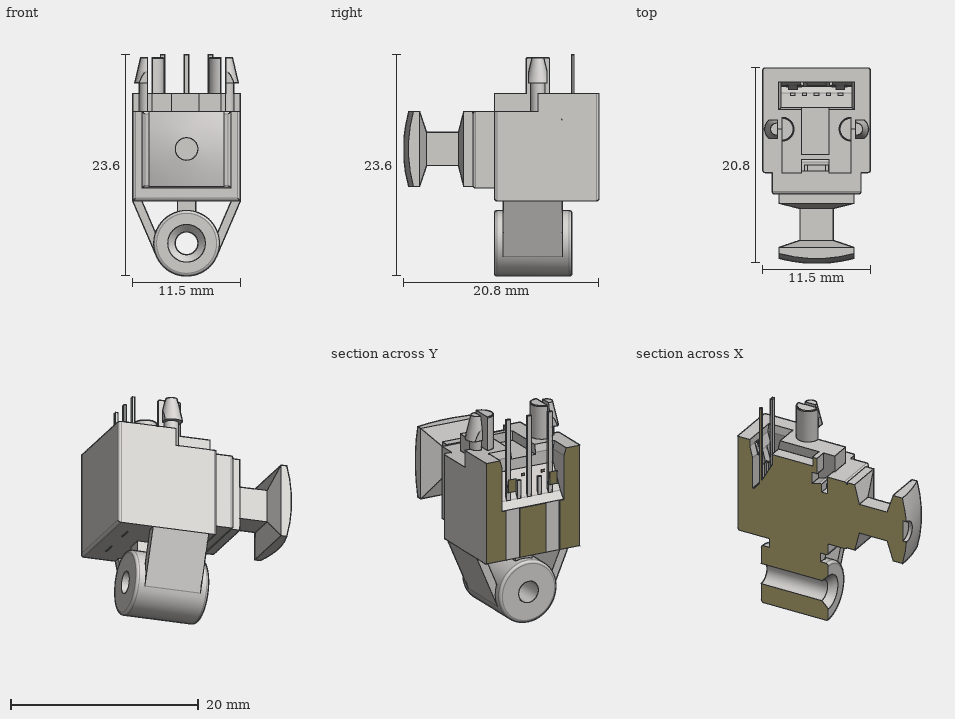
import cadquery as cq
import math


overall_height = 23.6

body_width = 11.5
body_depth = 11.19
body_top = 15.98
body_bottom = 4.5
edge_radius = 0.3

step_z = 14.07
step_y = 4.65
tongue_width = 7.35

eye_diameter = 7.0
eye_radius = eye_diameter / 2
eye_length = 8.28
bore_diameter = 2.4
countersink_diameter = 4.01
countersink_angle = 90
strut_y_front = 0.95
strut_y_back = 7.27
strut_top_width = 1.0
web_width = 1.98

collar_width = 9.49
collar_bottom = 5.88
collar_length = 2.3
button_size = 8.02
neck_size = 3.56
shoulder_y = -3.25
neck_start_y = -3.82
neck_end_y = -7.2
button_back_y = -7.95
button_front_y = -9.68
dome_radius = 15.58
dimple_diameter = 2.4
dimple_depth = 0.5
button_z = step_z - button_size / 2

pocket_width = 8.07
pocket_y_front = 6.73
pocket_y_back = 9.65
lead_in_depth = 0.83
well_width = 7.55
well_y_front = 6.95
well_y_back = 9.32
back_slope_height = 1.3
floor_front_z = 13.69
floor_ridge_y = 8.5
floor_ridge_z = 10.95
floor_back_y = 9.18
floor_back_z = 10.15
key_slot_x = 1.55
key_slot_width = 0.33
key_rib_x = 1.2
key_rib_width = 0.38
latch_x = 2.53
latch_width = 0.95
latch_y_front = 8.87
latch_height = 1.63
wedge_lip = 0.12
vent_x = 2.43
vent_width = 1.65
lead_in_z = body_top - lead_in_depth
back_slope_z = lead_in_z - back_slope_height

channel_width = 2.97
channel_x = -0.15
channel_floor_z = 14.92
channel_y_front = 1.95
notch_y_back = 1.4
notch_y_front = 0.17
notch_floor_z = 13.03
undercut_y_back = 2.0
undercut_floor_z = 12.75
notch_ramp_y = 1.13
slot_y_back = 0.8
slot_width = 2.55
slot_floor_z = 12.5
slot_center_width = 1.94
slot_center_z = 12.04

pin_y = 8.38
pin_pitch = 1.27
pin_width = 0.5
pin_thickness = 0.25
pin_root_z = 9.45
pin_top = overall_height - eye_radius
short_pin_width = 0.42
short_pin_top = 12.98

post_diameter = 2.53
post_top = 19.78
post_chamfer = 0.1
clip_x = 4.27
clip_flat_x = 4.15
clip_shank_radius = 0.78
clip_head_z = 17.1
clip_head_diameter = 2.53
clip_tip_radius = 0.64
clip_head_width = 1.98


def block(width, y_start, y_end, z_start, z_end, x_center=0):
    """Box centred on x_center, spanning the given Y and Z ranges."""
    box = cq.Workplane("XY", origin=(x_center, y_start, z_start))
    return box.box(width, y_end - y_start, z_end - z_start, centered=(True, False, False))


def square_taper(y_start, size_start, y_end, size_end):
    """Square frustum around the plunger axis."""
    return (
        cq.Workplane("XZ", origin=(0, y_start, button_z))
        .rect(size_start, size_start)
        .workplane(offset=y_start - y_end)
        .rect(size_end, size_end)
        .loft()
    )


def mirrored(shape):
    """The shape together with its mirror image across X = 0."""
    return shape.union(shape.mirror("YZ"))


def make_body():
    body = block(body_width, 0, body_depth, body_bottom, body_top)
    body = body.edges("|Z or (|X and <Z)").fillet(edge_radius)
    lowered = block(body_width, 0, step_y, step_z, body_top)
    lowered = lowered.cut(block(tongue_width, 0, step_y, step_z, body_top))
    return body.cut(lowered)


def make_strut():
    """Strut from the lower left housing edge, tangent to the eye."""
    top_x = -body_width / 2
    corner_distance = math.hypot(top_x, body_bottom)
    tangent_angle = math.atan2(body_bottom, top_x) + math.acos(eye_radius / corner_distance)
    thickness = strut_top_width * abs(math.cos(tangent_angle))
    inner_radius = eye_radius - thickness
    direction = (math.cos(tangent_angle), math.sin(tangent_angle))
    outline = [
        (top_x, body_bottom),
        (eye_radius * direction[0], eye_radius * direction[1]),
        (inner_radius * direction[0], inner_radius * direction[1]),
        (top_x + strut_top_width, body_bottom),
    ]
    strut = cq.Workplane("XZ", origin=(0, strut_y_front, 0)).polyline(outline).close()
    return strut.extrude(strut_y_front - strut_y_back)


def make_eye():
    eye = cq.Workplane("XZ").circle(eye_radius).extrude(-eye_length)
    eye = eye.edges().fillet(edge_radius)
    web = block(web_width, strut_y_front, strut_y_back, 0, body_bottom)
    eye = eye.union(web).union(mirrored(make_strut()))
    eye = eye.faces("<Y").workplane(origin=(0, 0, 0))
    return eye.cskHole(bore_diameter, countersink_diameter, countersink_angle)


def make_plunger():
    collar = block(collar_width, -collar_length, edge_radius, collar_bottom, step_z)
    collar = collar.faces("<Y").edges().fillet(edge_radius)
    button_bottom = step_z - button_size
    shoulder = block(button_size, shoulder_y, -collar_length, button_bottom, step_z)
    neck = block(neck_size, neck_end_y, neck_start_y, button_z - neck_size / 2, button_z + neck_size / 2)
    button = block(button_size, button_front_y, button_back_y, button_bottom, step_z)
    dome = cq.Workplane("XY").sphere(dome_radius).translate((0, button_front_y + dome_radius, button_z))
    dimple = cq.Workplane("XZ", origin=(0, button_front_y, button_z))
    dimple = dimple.circle(dimple_diameter / 2).extrude(-dimple_depth)
    button = button.intersect(dome).cut(dimple)
    return (
        collar.union(shoulder)
        .union(square_taper(shoulder_y, button_size, neck_start_y, neck_size))
        .union(neck)
        .union(square_taper(neck_end_y, neck_size, button_back_y, button_size))
        .union(button)
    )


def make_pocket():
    """Terminal pocket: tapered lead-in, well with a sloped back wall, and vents through the base."""
    lead_in = (
        cq.Workplane("XY", origin=(0, (pocket_y_front + pocket_y_back) / 2, body_top))
        .rect(pocket_width, pocket_y_back - pocket_y_front)
        .workplane(offset=-lead_in_depth)
        .center(0, (well_y_front - pocket_y_front) / 2)
        .rect(well_width, pocket_y_back - well_y_front)
        .loft()
    )
    well_outline = [
        (well_y_front, lead_in_z),
        (well_y_front, floor_front_z),
        (floor_ridge_y, floor_ridge_z),
        (floor_back_y, floor_back_z),
        (well_y_back, floor_back_z),
        (well_y_back, back_slope_z),
        (pocket_y_back, lead_in_z),
    ]
    well = cq.Workplane("YZ").polyline(well_outline).close().extrude(well_width / 2, both=True)
    key_slot = block(key_slot_width, floor_back_y, pocket_y_back, back_slope_z, lead_in_z, key_slot_x)
    vent = block(vent_width, floor_back_y, well_y_back, body_bottom, back_slope_z, vent_x)
    return lead_in.union(well).union(mirrored(key_slot.union(vent)))


def make_wedges(x, width, y_top, z_top, y_front, z_front):
    """Pair of wedges rooted in the back wall of the pocket, sloping forwards to a short lip."""
    outline = [
        (body_depth, z_top),
        (y_top, z_top),
        (y_front, z_front),
        (y_front, z_front - wedge_lip),
        (body_depth, z_front - wedge_lip),
    ]
    wedge = cq.Workplane("YZ", origin=(x, 0, 0)).polyline(outline).close()
    return mirrored(wedge.extrude(width / 2, both=True))


def make_notch():
    """Front notch through the tongue, undercut at the back, with a stepped slot in its floor."""
    outline = [
        (0, body_top),
        (0, step_z),
        (notch_y_front, step_z),
        (notch_y_front, notch_floor_z),
        (notch_ramp_y, notch_floor_z),
        (undercut_y_back, undercut_floor_z),
        (undercut_y_back, step_z),
        (notch_y_back, step_z),
        (notch_y_back, body_top),
    ]
    notch = cq.Workplane("YZ", origin=(channel_x, 0, 0)).polyline(outline).close()
    notch = notch.extrude(channel_width / 2, both=True)
    slot = block(slot_width, notch_y_front, slot_y_back, slot_floor_z, notch_floor_z)
    slot_center = block(slot_center_width, notch_y_front, slot_y_back, slot_center_z, slot_floor_z)
    return notch.union(slot).union(slot_center)


def make_pin(x, width, top):
    return block(width, pin_y - pin_thickness / 2, pin_y + pin_thickness / 2, pin_root_z, top, x)


def make_post():
    """Half-round post on the right edge of the tongue, flat side outwards."""
    flat_x = tongue_width / 2
    post = cq.Workplane("XY", origin=(flat_x, step_y, step_z))
    post = post.circle(post_diameter / 2).extrude(post_top - step_z)
    post = post.faces(">Z").edges().chamfer(post_chamfer)
    inner_half = block(post_diameter, 0, body_depth, step_z, post_top, flat_x - post_diameter / 2)
    return post.intersect(inner_half)


def make_clip():
    """Right snap clip: round shank and conical head, flat on the side facing the post."""
    shank = cq.Workplane("XY", origin=(clip_x, step_y, step_z)).circle(clip_shank_radius)
    shank = shank.extrude(clip_head_z - step_z)
    head = (
        cq.Workplane("XY", origin=(clip_x, step_y, clip_head_z))
        .circle(clip_head_diameter / 2)
        .workplane(offset=post_top - clip_head_z)
        .circle(clip_tip_radius)
        .loft()
    )
    half_width = clip_head_width / 2
    envelope = block(
        body_width, step_y - half_width, step_y + half_width, step_z, post_top, clip_flat_x + body_width / 2
    )
    return shank.union(head).intersect(envelope)


result = make_body().union(make_eye()).union(make_plunger())

result = result.cut(make_pocket())
result = result.union(
    make_wedges(key_rib_x, key_rib_width, pocket_y_back, lead_in_z, floor_back_y, back_slope_z)
)
result = result.union(
    make_wedges(latch_x, latch_width, well_y_back, back_slope_z, latch_y_front, back_slope_z - latch_height)
)
result = result.cut(block(channel_width, channel_y_front, well_y_front, channel_floor_z, body_top, channel_x))
result = result.cut(make_notch())

result = result.union(mirrored(make_post())).union(mirrored(make_clip()))
for position in range(-2, 3):
    is_long = position % 2 == 0
    width = pin_width if is_long else short_pin_width
    top = pin_top if is_long else short_pin_top
    result = result.union(make_pin(position * pin_pitch, width, top))